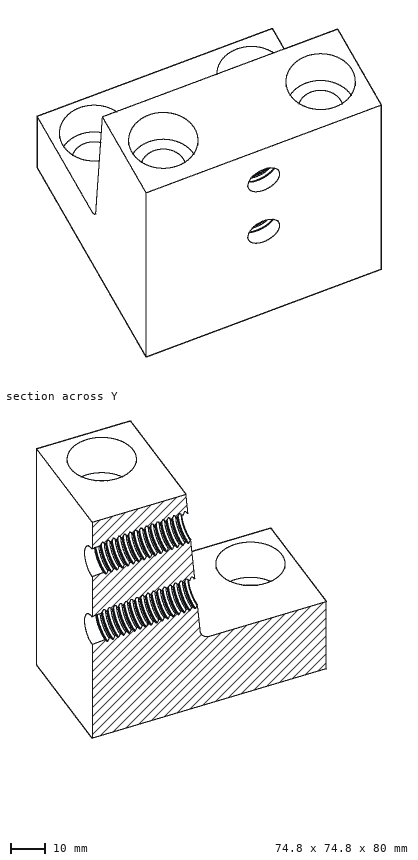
import cadquery as cq
import math

length = 74.8
width = 74.8
height = 80.0

base_height = 25.0
wall_top_thickness = 30.0
face_slope = 5.0
corner_radius = 3.0

bolt_diameter = 13.0
counterbore_diameter = 20.0
counterbore_depth = 13.0
edge_inset = 12.4
wall_hole_x = 59.8

thread_minor_diameter = 10.1
thread_major_diameter = 12.0
thread_pitch = 1.8
thread_angle = 60.0
root_flat = thread_pitch / 8
threaded_hole_drop = 12.3
threaded_hole_spacing = 24.9
threaded_hole_count = 2
overrun = 8.0

face_top_x = length - wall_top_thickness
face_lean = math.tan(math.radians(face_slope))


def face_x(z):
    """X of the sloping face at height z."""
    return face_top_x - (height - z) * face_lean


def make_body():
    """Extrude the L profile across the width and round its inner corner."""
    profile = [
        (0, 0),
        (length, 0),
        (length, height),
        (face_top_x, height),
        (face_x(base_height), base_height),
        (0, base_height),
    ]
    body = cq.Workplane("XZ").polyline(profile).close().extrude(-width)
    corner = cq.selectors.NearestToPointSelector((face_x(base_height), width / 2, base_height))
    return body.edges(corner).fillet(corner_radius)


def bolt_hole(x, y, top):
    """Counterbored through hole entering downward from height top."""
    shank = cq.Workplane("XY").center(x, y).circle(bolt_diameter / 2).extrude(top)
    head = (
        cq.Workplane("XY", origin=(x, y, top))
        .circle(counterbore_diameter / 2)
        .extrude(-counterbore_depth)
    )
    return shank.union(head)


def threaded_hole(z):
    """Hole square to the sloping face at height z, its thread simplified to ring-shaped V grooves."""
    slope = math.radians(face_slope)
    into_wall = cq.Vector(math.cos(slope), 0, -math.sin(slope))
    up_face = cq.Vector(math.sin(slope), 0, math.cos(slope))
    centre = cq.Vector(face_x(z), width / 2, z)
    wall_depth = (length - centre.x) / math.cos(slope)

    minor_radius = thread_minor_diameter / 2
    major_radius = thread_major_diameter / 2
    flank_run = (major_radius - minor_radius) * math.tan(math.radians(thread_angle / 2))
    half_mouth = root_flat / 2 + flank_run
    groove_count = math.floor(wall_depth / thread_pitch) - 1

    outline = [(-overrun, 0), (-overrun, minor_radius)]
    for groove in range(groove_count):
        middle = (groove + 0.5) * thread_pitch
        outline += [
            (middle - half_mouth, minor_radius),
            (middle - root_flat / 2, major_radius),
            (middle + root_flat / 2, major_radius),
            (middle + half_mouth, minor_radius),
        ]
    outline += [(wall_depth + overrun, minor_radius), (wall_depth + overrun, 0)]

    axial_plane = cq.Plane(origin=centre, xDir=into_wall, normal=into_wall.cross(up_face))
    return cq.Workplane(axial_plane).polyline(outline).close().revolve(360, (0, 0), (1, 0))


result = make_body()
for y in (edge_inset, width - edge_inset):
    result = result.cut(bolt_hole(edge_inset, y, base_height))
    result = result.cut(bolt_hole(wall_hole_x, y, height))
for row in range(threaded_hole_count):
    result = result.cut(threaded_hole(height - threaded_hole_drop - row * threaded_hole_spacing))